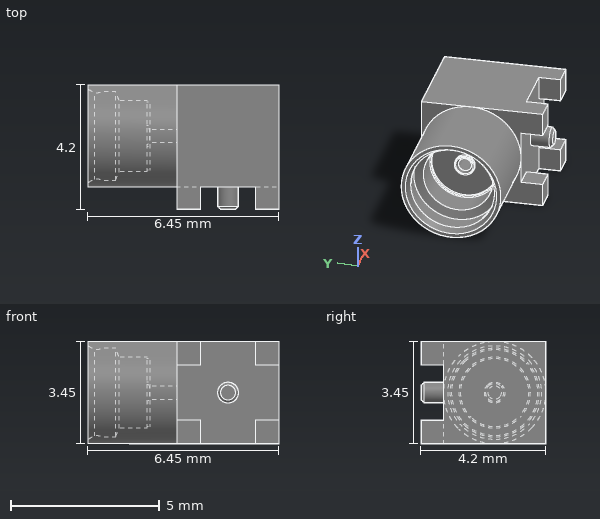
import cadquery as cq


body_side = 3.45
barrel_length = 3.0
barrel_radius = body_side / 2
body_center_x = barrel_length + body_side / 2

leg_side = 0.8
leg_length = 0.75
pin_radius = 0.35
pin_chamfer = 0.1

mouth_radius = 1.58
throat_radius = 1.45
throat_start = 0.23
throat_end = 0.33
groove_radius = 1.5
groove_start = 0.55
groove_end = 0.93
bore_radius = 1.2
bore_start = 1.05
shoulder_depth = 2.0
floor_radius = 1.15
floor_depth = 2.1

contact_radius = 0.35
contact_mouth_radius = 0.305
contact_hole_radius = 0.225
contact_hole_depth = 1.0
contact_chamfer = contact_mouth_radius - contact_hole_radius


def revolve_about_x(profile):
    """Revolve (x, radius) points about the barrel axis."""
    return cq.Workplane("XY").polyline(profile).close().revolve(360, (0, 0, 0), (1, 0, 0))


def make_body():
    block = cq.Workplane("XY").box(body_side, body_side, body_side)
    return block.translate((body_center_x, 0, 0))


def make_barrel():
    return cq.Workplane("YZ").circle(barrel_radius).extrude(body_center_x)


def make_leg(side_x, side_z):
    offset = (body_side - leg_side) / 2
    leg = cq.Workplane("XY").box(leg_side, leg_length, leg_side)
    return leg.translate((
        body_center_x + side_x * offset,
        -(body_side + leg_length) / 2,
        side_z * offset,
    ))


def make_solder_pin():
    pin = (
        cq.Workplane("XZ", origin=(body_center_x, -body_side / 2, 0))
        .circle(pin_radius)
        .extrude(leg_length)
    )
    return pin.faces("<Y").chamfer(pin_chamfer)


def make_bore():
    """Flared mouth, snap groove and stepped bore, as a solid to cut away."""
    return revolve_about_x([
        (0, 0),
        (0, mouth_radius),
        (throat_start, throat_radius),
        (throat_end, throat_radius),
        (groove_start, groove_radius),
        (groove_end, groove_radius),
        (bore_start, bore_radius),
        (shoulder_depth, bore_radius),
        (shoulder_depth, floor_radius),
        (floor_depth, floor_radius),
        (floor_depth, 0),
    ])


def make_contact():
    contact_length = floor_depth - shoulder_depth
    return cq.Workplane("YZ", origin=(shoulder_depth, 0, 0)).circle(contact_radius).extrude(contact_length)


def make_contact_hole():
    hole_end = shoulder_depth + contact_hole_depth
    return revolve_about_x([
        (shoulder_depth, 0),
        (shoulder_depth, contact_mouth_radius),
        (shoulder_depth + contact_chamfer, contact_hole_radius),
        (hole_end, contact_hole_radius),
        (hole_end, 0),
    ])


result = make_body().union(make_barrel())
for side_x in (-1, 1):
    for side_z in (-1, 1):
        result = result.union(make_leg(side_x, side_z))
result = result.union(make_solder_pin())
result = result.cut(make_bore()).union(make_contact()).cut(make_contact_hole())